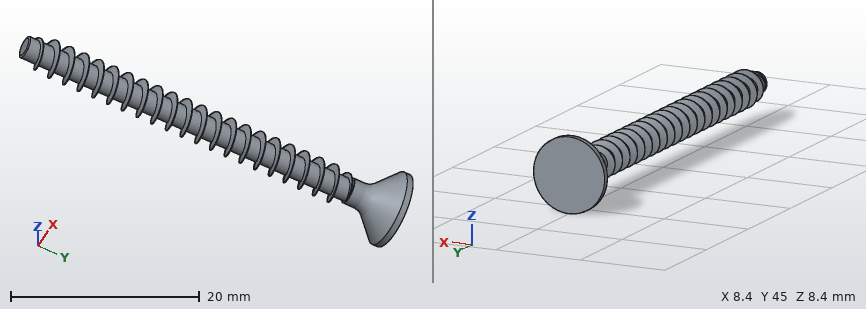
import cadquery as cq
import math

length = 45.0
head_radius = 8.4 / 2
head_rim = 0.7
neck_radius = 1.45
neck_fillet = 1.58
neck_end = 5.55
core_radius = 2.48 / 2
tip_radius = 1.0
tip_chamfer_length = 0.1

thread_radius = 2.02
thread_start = 4.7
thread_end = 44.95
thread_turns = 22.5
pitch = (thread_end - thread_start) / thread_turns
start_runout_turns = 1.25
end_runout_turns = 1.5
foot_width = 0.65
crest_width = 0.1
foot_depth = 0.25
buried_crest_depth = 0.1
points_per_turn = 16


def head_and_neck():
    """Countersunk head with a rounded transition into the plain neck."""
    cone_end = head_rim + head_radius - neck_radius
    profile = (
        cq.Workplane("XY")
        .lineTo(head_radius, 0)
        .lineTo(head_radius, -head_rim)
        .lineTo(neck_radius, -cone_end)
        .lineTo(neck_radius, -neck_end)
        .lineTo(0, -neck_end)
        .close()
    )
    head = profile.revolve(360, (0, 0, 0), (0, 1, 0))
    cone_to_neck = cq.selectors.NearestToPointSelector((0, -cone_end, 0))
    return head.edges("%CIRCLE").edges(cone_to_neck).fillet(neck_fillet)


def core():
    """Plain cylinder that carries the thread over the whole length."""
    return cq.Workplane("XZ").circle(core_radius).extrude(length)


def shank_envelope():
    """Solid around the thread from the neck's end face to the flat tip and its chamfer cone."""
    envelope_radius = head_radius
    cone_slope = tip_chamfer_length / (core_radius - tip_radius)
    cone_height = cone_slope * (envelope_radius - tip_radius)
    profile = (
        cq.Workplane("XY")
        .moveTo(0, -neck_end)
        .lineTo(envelope_radius, -neck_end)
        .lineTo(envelope_radius, cone_height - length)
        .lineTo(tip_radius, -length)
        .lineTo(0, -length)
        .close()
    )
    return profile.revolve(360, (0, 0, 0), (0, 1, 0))


def foot_radius(turn):
    """Constant radius of the thread's foot, inside the core."""
    return core_radius - foot_depth


def crest_radius(turn):
    """Full thread height, sinking steadily into the core over the run-out at each end."""
    buried = core_radius - buried_crest_depth
    fraction = min(turn / start_runout_turns, (thread_turns - turn) / end_runout_turns, 1)
    return buried + (thread_radius - buried) * fraction


def thread_edge(radius_at, axial_offset):
    """Helical edge starting at the top (+Z); `radius_at` gives its radius for a turn count."""
    points = []
    for step in range(round(thread_turns * points_per_turn) + 1):
        turn = step / points_per_turn
        angle = 2 * math.pi * turn
        radius = radius_at(turn)
        y = -thread_start - pitch * turn + axial_offset
        points.append(cq.Vector(-radius * math.sin(angle), y, radius * math.cos(angle)))
    return cq.Edge.makeSpline(points)


def thread():
    """Solid ridge of trapezoidal section, its foot buried in the core."""
    edges = [
        thread_edge(foot_radius, foot_width / 2),
        thread_edge(crest_radius, crest_width / 2),
        thread_edge(crest_radius, -crest_width / 2),
        thread_edge(foot_radius, -foot_width / 2),
    ]
    faces = [cq.Face.makeRuledSurface(edges[i - 1], edges[i]) for i in range(len(edges))]
    for end in (0, 1):
        corners = [edge.positionAt(end) for edge in edges]
        faces.append(cq.Face.makeFromWires(cq.Wire.makePolygon(corners, close=True)))
    return cq.Solid.makeSolid(cq.Shell.makeShell(faces))


shank = core().union(cq.Workplane(thread())).intersect(shank_envelope())
result = shank.union(head_and_neck())